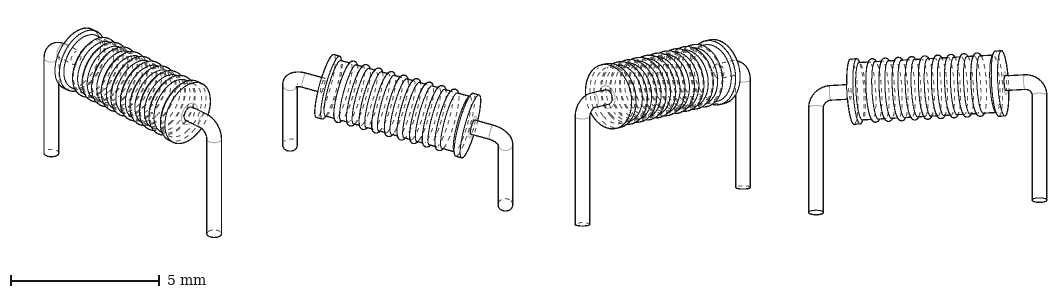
import cadquery as cq

lead_diameter = 0.5
lead_pitch = 7.62
lead_bend_radius = 0.5
lead_drop = 4.2

body_length = 5.3
core_diameter = 1.94
flange_diameter = 2.2
hub_diameter = 0.77
end_cone_depth = 0.077
flange_rim_width = 0.213
flange_taper_width = 0.075

ring_count = 9
ring_pitch = 0.447
ring_section_radius = 0.1
ring_group_offset = 0.05


def flange_profile():
    """Points (x, radius) of the +X flange, from the core out to the body axis."""
    end_x = body_length / 2
    rim_outer_x = end_x - end_cone_depth
    rim_inner_x = rim_outer_x - flange_rim_width
    core_end_x = rim_inner_x - flange_taper_width
    return [
        (core_end_x, core_diameter / 2),
        (rim_inner_x, flange_diameter / 2),
        (rim_outer_x, flange_diameter / 2),
        (end_x, hub_diameter / 2),
        (end_x, 0),
    ]


def make_body():
    """Core, both flanges and all rings, revolved from one outline."""
    core_radius = core_diameter / 2
    right_flange = flange_profile()
    left_flange = [(-x, radius) for x, radius in reversed(right_flange)]
    outline = cq.Workplane("XZ").polyline(left_flange)

    first_ring_x = ring_group_offset - ring_pitch * (ring_count - 1) / 2
    for ring_index in range(ring_count):
        ring_x = first_ring_x + ring_index * ring_pitch
        outline = outline.lineTo(ring_x - ring_section_radius, core_radius)
        outline = outline.threePointArc(
            (ring_x, core_radius + ring_section_radius),
            (ring_x + ring_section_radius, core_radius),
        )

    for x, radius in right_flange:
        outline = outline.lineTo(x, radius)
    return outline.close().revolve(360, (0, 0, 0), (1, 0, 0))


def make_leads():
    """One wire through the body, with both ends bent down."""
    lead_x = lead_pitch / 2
    straight_end_x = lead_x - lead_bend_radius
    path = (
        cq.Workplane("XZ")
        .moveTo(-lead_x, -lead_drop)
        .lineTo(-lead_x, -lead_bend_radius)
        .tangentArcPoint((-straight_end_x, 0), relative=False)
        .lineTo(straight_end_x, 0)
        .tangentArcPoint((lead_x, -lead_bend_radius), relative=False)
        .lineTo(lead_x, -lead_drop)
    )
    section = cq.Workplane("XY", origin=(-lead_x, 0, -lead_drop)).circle(lead_diameter / 2)
    return section.sweep(path)


result = make_body().union(make_leads())